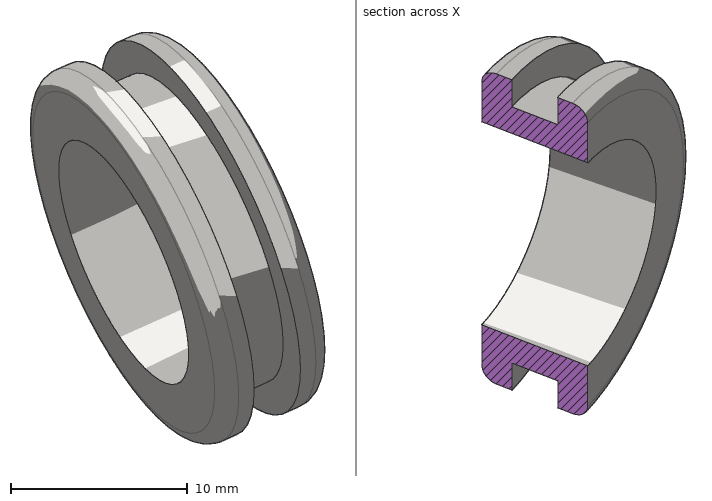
import cadquery as cq

bore_diameter = 15.0
groove_diameter = 19.0
flange_diameter = 23.0
flange_thickness = 2.0
groove_width = 3.0
rim_radius = 1.0

total_width = groove_width + 2 * flange_thickness


def cylinder_along_y(diameter, length):
    """Cylinder around the Y axis, centred on the XZ plane."""
    end_plane = cq.Workplane("XZ", origin=(0, length / 2, 0))
    return end_plane.circle(diameter / 2).extrude(length)


def rounded_blank():
    """Full-width disc with both outer rims rounded."""
    return cylinder_along_y(flange_diameter, total_width).edges("%CIRCLE").fillet(rim_radius)


def groove_ring():
    """Ring of material removed between the two flanges."""
    outside = cylinder_along_y(flange_diameter, groove_width)
    core = cylinder_along_y(groove_diameter, groove_width)
    return outside.cut(core)


bore = cylinder_along_y(bore_diameter, total_width)
result = rounded_blank().cut(groove_ring()).cut(bore)